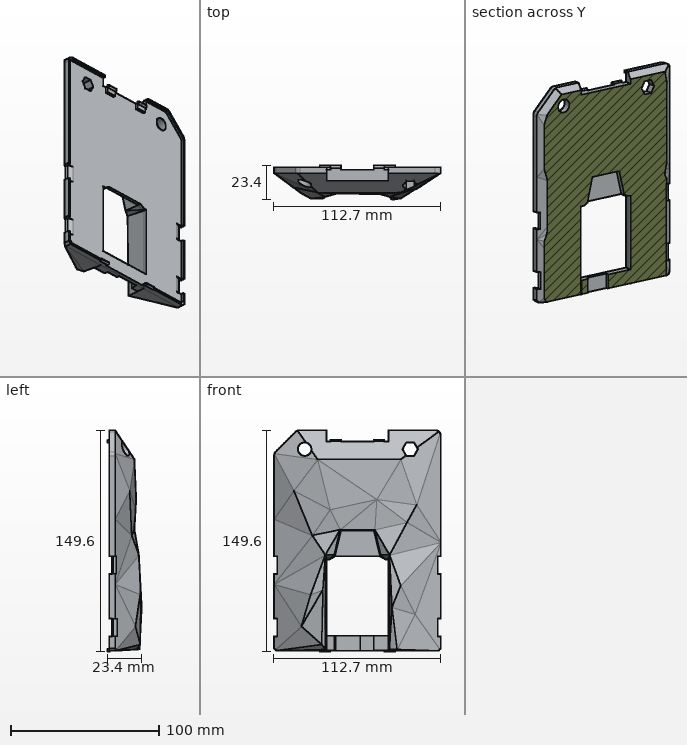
import cadquery as cq
import math


WIDTH = 112.7
HALF = WIDTH / 2
SNAP_RADIUS = 1.0
HEIGHT = 149.6 - SNAP_RADIUS
BOTTOM = -0.5
PLATE = 4.0
CUT_CORNER = 15.7
CORNER_RADIUS = 4.0
BOTTOM_CHAMFER = 1.8

WINDOW_HALF = 20.8
WINDOW_BOTTOM = 9.9
WINDOW_SHOULDER = 61.2
SHOULDER_INNER = 19.0
RECESS_BOTTOM = 63.3
RECESS_BOTTOM_HALF = 15.3
RECESS_TOP = 80.7
RECESS_TOP_HALF = 11.0
BROW_HALF = 11.7
BROW_DEPTH = 17.2
CHEEK_HALF = 21.7
CHEEK_TOP = 64.3
CHEEK_DEPTH = 20.2
RIDGE_HEIGHT = 128.8
RIDGE_DEPTH = 17.2

RECESS_SLOPE = (RECESS_BOTTOM_HALF - RECESS_TOP_HALF) / (RECESS_TOP - RECESS_BOTTOM)
BROW_TOP = 81.4
RECESS_DRAFT = (BROW_HALF - RECESS_TOP_HALF + (BROW_TOP - RECESS_TOP) * RECESS_SLOPE) / (BROW_DEPTH - PLATE)
STEP_DEPTH = 16.3
STEP_HALF = RECESS_TOP_HALF + (RECESS_TOP - CHEEK_TOP) * RECESS_SLOPE + (STEP_DEPTH - PLATE) * RECESS_DRAFT
WINDOW_DRAFT = (CHEEK_HALF - WINDOW_HALF) / (CHEEK_DEPTH - PLATE)
FOOT_DEPTH = 19.2
FOOT_HALF = WINDOW_HALF + (FOOT_DEPTH - PLATE) * WINDOW_DRAFT
FOOT_HEIGHT = 0.6

BAR_STEPS = [
    (-WINDOW_HALF, 10.0), (-15.5, 10.0), (-14.5, 5.1), (1.8, 5.1),
    (1.8, 7.2), (10.9, 7.2), (10.9, 10.0), (WINDOW_HALF, 10.0),
]

POCKET_DEPTH = 1.8
POCKET_RIM = 1.5

SLOT_HALF = WINDOW_HALF
SLOT_FLOOR = 141.0
TAB_INNER = 10.9
TAB_OUTER = 18.3
TAB_HEIGHT = 4.5

SNAP_LENGTH = TAB_OUTER - TAB_INNER
SNAP_OFFSET = 0.3
TOP_SNAP_CENTER = (TAB_INNER + TAB_OUTER) / 2
BOTTOM_SNAP_CENTER = TAB_OUTER + SNAP_LENGTH / 2
TOP_SNAP_HEIGHT = SLOT_FLOOR

NOTCH_BOTTOMS = [9.5, 51.5]
NOTCH_HEIGHT = 12.0
NOTCH_INSET = 2.1
LIP_INSET = 6.0
LIP_FRONT = 3.0

HOLE_X = 35.6
HOLE_Z = 135.7
HOLE_DIAMETER = 9.0
HEX_CORNERS = 10.3
THROUGH = 59.9

POINTS = {
    "rim left high": (-HALF, PLATE, HEIGHT - CUT_CORNER),
    "rim top left": (CUT_CORNER - HALF, PLATE, HEIGHT),
    "rim top right": (HALF, PLATE, HEIGHT),
    "rim right middle": (HALF, PLATE, 72.9),
    "rim bottom right": (HALF, PLATE, BOTTOM),
    "rim bottom left": (-HALF, PLATE, BOTTOM),
    "rim left low": (-HALF, PLATE, 44.6),
    "rim left middle": (-HALF, PLATE, 88.6),
    "ridge left": (-27.0, RIDGE_DEPTH, RIDGE_HEIGHT),
    "ridge right": (29.2, RIDGE_DEPTH, RIDGE_HEIGHT),
    "temple left": (-43.0, 13.9, 107.7),
    "temple right": (40.0, 14.8, 98.2),
    "forehead left": (-18.5, 17.8, 95.0),
    "forehead right": (12.9, 18.4, 101.9),
    "side left": (-30.5, 15.3, 77.5),
    "side right": (33.5, 16.3, 86.3),
    "brow left": (-BROW_HALF, BROW_DEPTH, BROW_TOP),
    "brow right": (BROW_HALF, BROW_DEPTH, BROW_TOP),
    "cheek left": (-CHEEK_HALF, CHEEK_DEPTH, CHEEK_TOP),
    "cheek right": (CHEEK_HALF, CHEEK_DEPTH, CHEEK_TOP),
    "step left": (-STEP_HALF, STEP_DEPTH, CHEEK_TOP),
    "step right": (STEP_HALF, STEP_DEPTH, CHEEK_TOP),
    "leg left high": (-31.5, 21.2, 37.5),
    "leg left inner": (-23.3, 21.4, 40.8),
    "leg left low": (-37.9, 17.8, 16.2),
    "leg left toe": (-24.1, 21.1, 3.9),
    "foot left": (-FOOT_HALF, FOOT_DEPTH, FOOT_HEIGHT),
    "leg right high": (29.2, 21.2, 43.7),
    "leg right inner": (23.3, 22.1, 29.0),
    "leg right low": (38.8, 14.0, 24.4),
    "leg right toe": (26.8, 20.6, FOOT_HEIGHT),
    "foot right": (FOOT_HALF, FOOT_DEPTH, FOOT_HEIGHT),
    "base recess left": (-RECESS_TOP_HALF, PLATE, RECESS_TOP),
    "base recess right": (RECESS_TOP_HALF, PLATE, RECESS_TOP),
    "base step left": (-RECESS_BOTTOM_HALF, PLATE, RECESS_BOTTOM),
    "base step right": (RECESS_BOTTOM_HALF, PLATE, RECESS_BOTTOM),
    "base inner left": (-SHOULDER_INNER, PLATE, WINDOW_SHOULDER),
    "base inner right": (SHOULDER_INNER, PLATE, WINDOW_SHOULDER),
    "base shoulder left": (-WINDOW_HALF, PLATE, WINDOW_SHOULDER),
    "base shoulder right": (WINDOW_HALF, PLATE, WINDOW_SHOULDER),
    "base foot left": (-WINDOW_HALF, PLATE, BOTTOM),
    "base foot right": (WINDOW_HALF, PLATE, BOTTOM),
}

UPPER_FACETS = [
    ("rim top left", "rim top right", "ridge right", "ridge left"),
    ("rim left high", "rim top left", "ridge left"),
    ("rim left high", "ridge left", "temple left"),
    ("rim left high", "temple left", "rim left middle"),
    ("temple left", "side left", "rim left middle"),
    ("ridge left", "forehead left", "temple left"),
    ("temple left", "forehead left", "side left"),
    ("ridge left", "forehead right", "forehead left"),
    ("ridge left", "ridge right", "forehead right"),
    ("ridge right", "temple right", "forehead right"),
    ("ridge right", "rim top right", "temple right"),
    ("rim top right", "rim right middle", "temple right"),
    ("temple right", "rim right middle", "side right"),
    ("forehead right", "temple right", "side right"),
    ("forehead right", "side right", "brow right"),
    ("forehead right", "brow right", "brow left"),
    ("forehead left", "forehead right", "brow left"),
    ("side left", "forehead left", "brow left"),
    ("side left", "brow left", "cheek left"),
    ("brow right", "side right", "cheek right"),
    ("side right", "rim right middle", "cheek right"),
    ("brow left", "step left", "cheek left"),
    ("brow right", "cheek right", "step right"),
]

LEFT_LEG_FACETS = [
    ("rim left middle", "side left", "rim left low"),
    ("side left", "cheek left", "rim left low"),
    ("cheek left", "leg left high", "rim left low"),
    ("cheek left", "leg left inner", "leg left high"),
    ("rim left low", "leg left high", "leg left low"),
    ("leg left high", "leg left inner", "leg left low"),
    ("leg left inner", "leg left toe", "leg left low"),
    ("rim left low", "leg left low", "rim bottom left"),
    ("leg left low", "leg left toe", "rim bottom left"),
    ("leg left toe", "foot left", "rim bottom left"),
    ("cheek left", "foot left", "leg left inner"),
    ("leg left inner", "foot left", "leg left toe"),
    ("rim bottom left", "foot left", "base foot left"),
]

RIGHT_LEG_FACETS = [
    ("cheek right", "rim right middle", "leg right high"),
    ("rim right middle", "leg right low", "leg right high"),
    ("cheek right", "leg right high", "leg right inner"),
    ("leg right high", "leg right low", "leg right inner"),
    ("leg right inner", "leg right low", "leg right toe"),
    ("leg right low", "rim bottom right", "leg right toe"),
    ("rim right middle", "rim bottom right", "leg right low"),
    ("cheek right", "leg right inner", "foot right"),
    ("leg right inner", "leg right toe", "foot right"),
    ("rim bottom right", "foot right", "leg right toe"),
    ("rim bottom right", "base foot right", "foot right"),
]

SIDE_WALL_FACETS = [
    ("brow", "base recess", "base step", "step"),
    ("step", "base step", "base inner"),
    ("step", "base inner", "cheek"),
    ("cheek", "base inner", "base shoulder"),
    ("cheek", "base shoulder", "base foot", "foot"),
]
BROW_WALL = ("brow left", "brow right", "base recess right", "base recess left")

RIM = [name for name in POINTS if name.startswith("rim")]
BASE_SIDE = ["base recess", "base step", "base inner", "base shoulder", "base foot"]


def on_side(names, side):
    return [f"{name} {side}" for name in names]


def flat_face(names):
    corners = [cq.Vector(x, -depth, z) for x, depth, z in (POINTS[name] for name in names)]
    return cq.Face.makeFromWires(cq.Wire.makePolygon(corners, close=True))


def box(x0, x1, y0, y1, z0, z1):
    return cq.Workplane("XY").box(x1 - x0, y1 - y0, z1 - z0, centered=False).translate((x0, y0, z0))


def outline(depth, inset=0.0):
    """Rounded outline of the plate, moved inward by the inset and extruded forward."""
    half = HALF - inset
    top = HEIGHT - inset
    cut = CUT_CORNER - inset * (2 - math.sqrt(2))
    bottom = BOTTOM + inset
    corners = [(-half, bottom), (half, bottom), (half, top), (cut - half, top), (-half, top - cut)]
    block = cq.Workplane("XZ").polyline(corners).close().extrude(depth)
    block = block.edges("|Y and (not <Z)").fillet(CORNER_RADIUS - inset)
    return block.edges("|Y and <Z").chamfer(BOTTOM_CHAMFER)


def facet_body():
    """Solid bounded by the facets, the window walls and the front of the plate."""
    facets = UPPER_FACETS + LEFT_LEG_FACETS + RIGHT_LEG_FACETS + [BROW_WALL]
    for side in ("left", "right"):
        facets = facets + [on_side(names, side) for names in SIDE_WALL_FACETS]
    split = RIM.index("rim bottom right") + 1
    inner_loop = on_side(reversed(BASE_SIDE), "right") + on_side(BASE_SIDE, "left")
    facets.append(RIM[:split] + inner_loop + RIM[split:])
    shell = cq.Shell.makeShell([flat_face(names) for names in facets])
    return cq.Workplane(cq.Solid.makeSolid(shell))


def window():
    right = [
        (RECESS_BOTTOM_HALF, RECESS_BOTTOM), (SHOULDER_INNER, WINDOW_SHOULDER),
        (WINDOW_HALF, WINDOW_SHOULDER), (WINDOW_HALF, WINDOW_BOTTOM),
    ]
    left = [(-x, z) for x, z in reversed(right)]
    return cq.Workplane("XZ").polyline(right + left).close().extrude(PLATE)


def bar():
    """Stepped bar whose underside rises toward the front, in line with the feet."""
    profile = [(-WINDOW_HALF, 0)] + BAR_STEPS + [(WINDOW_HALF, 0)]
    corners = [(x, -depth) for x, depth in profile]
    section = cq.Workplane("XY", origin=(0, 0, BOTTOM)).polyline(corners).close()
    block = section.extrude(WINDOW_BOTTOM - BOTTOM)
    slope = [(-PLATE, BOTTOM), (-FOOT_DEPTH, BOTTOM), (-FOOT_DEPTH, FOOT_HEIGHT)]
    return block.cut(cq.Workplane("YZ").polyline(slope).close().extrude(WINDOW_HALF, both=True))


def back_pocket():
    """Pocket inside the rim; it leaves the two tabs and runs out through the bottom edge."""
    pocket = outline(POCKET_DEPTH, POCKET_RIM)
    pocket = pocket.union(box(-TAB_OUTER, TAB_OUTER, -POCKET_DEPTH, 0, BOTTOM, WINDOW_BOTTOM))
    for start in (-TAB_OUTER, TAB_INNER):
        end = start + SNAP_LENGTH
        pocket = pocket.cut(box(start, end, -POCKET_DEPTH, 0, SLOT_FLOOR - TAB_HEIGHT, SLOT_FLOOR))
    return pocket


def latch_notch(z):
    """Notch through the right edge, with a sloped face running back into the pocket."""
    profile = [
        (HALF, 0), (HALF, -THROUGH), (HALF - NOTCH_INSET, -THROUGH),
        (HALF - NOTCH_INSET, -LIP_FRONT), (HALF - LIP_INSET, -POCKET_DEPTH), (HALF - LIP_INSET, 0),
    ]
    return cq.Workplane("XY", origin=(0, 0, z)).polyline(profile).close().extrude(NOTCH_HEIGHT)


def snap(x, z):
    bead = cq.Workplane("YZ", origin=(x, SNAP_OFFSET, z)).circle(SNAP_RADIUS)
    return bead.extrude(SNAP_LENGTH / 2, both=True)


body = outline(PLATE).cut(window())
body = body.union(facet_body().intersect(outline(THROUGH)))

body = body.union(bar())
body = body.cut(box(-SLOT_HALF, SLOT_HALF, -THROUGH, 0, SLOT_FLOOR, HEIGHT))
body = body.cut(back_pocket())

for z in NOTCH_BOTTOMS:
    notch = latch_notch(z)
    body = body.cut(notch).cut(notch.mirror("YZ"))

round_hole = cq.Workplane("XZ", origin=(-HOLE_X, 0, HOLE_Z)).circle(HOLE_DIAMETER / 2)
hex_hole = cq.Workplane("XZ", origin=(HOLE_X, 0, HOLE_Z)).polygon(6, HEX_CORNERS)
for hole in (round_hole, hex_hole):
    body = body.cut(hole.extrude(THROUGH))

for side in (-1, 1):
    body = body.union(snap(side * TOP_SNAP_CENTER, TOP_SNAP_HEIGHT))
    body = body.union(snap(side * BOTTOM_SNAP_CENTER, 0))

result = body